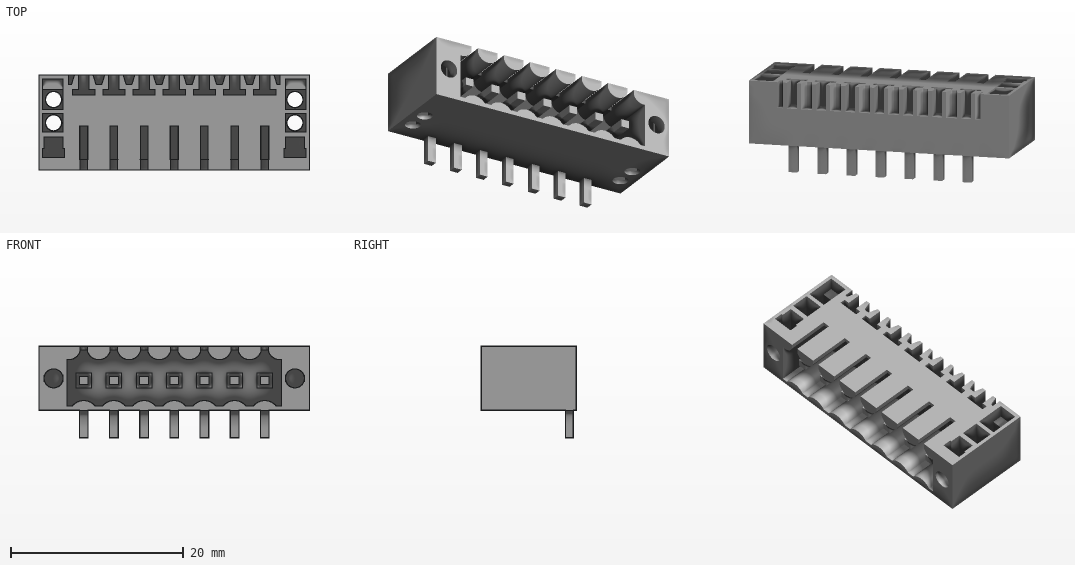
import cadquery as cq


length = 31.4
depth = 11.05
height = 7.45
floor_thickness = 0.5

pin_count = 7
row_span = 21.0
pitch = row_span / (pin_count - 1)
pin_places = [-row_span / 2 + i * pitch for i in range(pin_count)]
gap_places = [-(row_span + pitch) / 2 + i * pitch for i in range(pin_count + 1)]

pin_width = 1.05
pin_thickness = 0.95
pin_axis_z = 3.45
pin_tip_y = 1.22
leg_back_gap = 0.35
leg_length = 3.2

cavity_width = 24.93
cavity_depth = 6.9
cavity_top = 6.97
rib_radius = 1.38
rib_bottom = 5.87
slot_width = 0.88
slot_depth = 5.12
ridge_width = 2.65
ridge_height = 0.63
boss_width = 1.8
boss_height = 1.7
boss_length = 0.3

recess_floor = 4.4
stem_width = 1.22
stem_depth = 1.7
head_width = 2.57
head_depth = 2.35
notch_mouth = 1.35
notch_root = 0.65
notch_depth = 1.13
notch_root_radius = 0.2

pocket_wall = 0.4
pocket_width = 2.4
back_pocket_start = 0.47
back_pocket_end = 4.0
ledge_end = 1.7
ledge_drop = 1.8
middle_pocket_start = 4.45
middle_pocket_end = 6.63
peg_inset = 1.7
peg_diameter = 1.85
peg_places = [2.85, 5.55]
nut_pocket_start = 7.2
nut_pocket_step = 8.5
nut_pocket_end = 9.58
nut_narrow_width = 2.2
nut_wide_width = 2.57
screw_diameter = 2.2
screw_z = 3.7


def block(x_middle, width, y_range, z_range):
    """Box centred on x_middle that fills the given Y and Z ranges."""
    y_start, y_end = y_range
    z_start, z_end = z_range
    corner = (x_middle - width / 2, y_start, z_start)
    return cq.Workplane("XY").box(width, y_end - y_start, z_end - z_start, centered=False).translate(corner)


def end_block(inset, width, start, end, bottom):
    """Box in the left end, placed by its middle's inset and by its distances from the back face."""
    return block(inset - length / 2, width, (depth - end, depth - start), (bottom, height))


def ceiling_rib(x):
    """Rib hanging into the cavity, with straight sides and a round lower face."""
    width = pitch - slot_width
    centre_z = rib_bottom + rib_radius
    sides = block(x, width, (0, cavity_depth), (rib_bottom, height))
    round_part = (
        cq.Workplane("XZ").center(x, centre_z).circle(rib_radius).extrude(-cavity_depth)
        .union(block(x, width, (0, cavity_depth), (centre_z, height)))
    )
    return sides.intersect(round_part)


def floor_ridge(x):
    """Low ridge of circular-segment section along the cavity floor."""
    half = ridge_width / 2
    return (
        cq.Workplane("XZ")
        .moveTo(x - half, floor_thickness)
        .threePointArc((x, floor_thickness + ridge_height), (x + half, floor_thickness))
        .close()
        .extrude(-cavity_depth)
    )


def pin_boss(x):
    """Square boss on the cavity's back wall, around a pin."""
    z_range = (pin_axis_z - boss_height / 2, pin_axis_z + boss_height / 2)
    return block(x, boss_width, (cavity_depth - boss_length, cavity_depth), z_range)


def plug_cavity():
    """Space inside the cavity, with the ribs, ridges and bosses left standing."""
    cavity = block(0, cavity_width, (0, cavity_depth), (floor_thickness, cavity_top))
    for x in gap_places:
        cavity = cavity.cut(ceiling_rib(x))
    for x in pin_places:
        cavity = cavity.cut(floor_ridge(x)).cut(pin_boss(x))
    return cavity


def ceiling_slot(x):
    """Slot through the cavity ceiling above a pin."""
    return block(x, slot_width, (0, slot_depth), (rib_bottom + rib_radius / 2, height))


def rear_t_recess(x):
    """T-shaped recess behind a pin, open at the back and the top."""
    stem = block(x, stem_width, (depth - stem_depth, depth), (recess_floor, height))
    head = block(x, head_width, (depth - head_depth, depth - stem_depth), (recess_floor, height))
    return stem.union(head)


def rear_notch(x):
    """Tapered notch in the back edge, with a rounded root."""
    root_y = depth - notch_depth
    return (
        cq.Workplane("XY", origin=(x, 0, recess_floor))
        .moveTo(-notch_mouth / 2, depth)
        .lineTo(-notch_root / 2, root_y)
        .lineTo(notch_root / 2, root_y)
        .lineTo(notch_mouth / 2, depth)
        .close()
        .extrude(height - recess_floor)
        .edges("|Z and <Y")
        .fillet(notch_root_radius)
    )


def rear_notches():
    """Row of notches; the outermost two are halved by the solid ends of the housing."""
    row_width = gap_places[-1] - gap_places[0]
    notches = block(0, row_width, (depth - notch_depth, depth), (recess_floor, height))
    cutters = rear_notch(gap_places[0])
    for x in gap_places[1:]:
        cutters = cutters.union(rear_notch(x))
    return notches.intersect(cutters)


def left_end_pockets():
    """Pockets, peg holes and screw hole in the left end."""
    pocket_inset = pocket_wall + pocket_width / 2
    nut_inset = pocket_wall + nut_wide_width / 2
    ledge_top = height - ledge_drop
    pockets = (
        end_block(pocket_inset, pocket_width, back_pocket_start, ledge_end, ledge_top)
        .union(end_block(pocket_inset, pocket_width, ledge_end, back_pocket_end, floor_thickness))
        .union(end_block(pocket_inset, pocket_width, middle_pocket_start, middle_pocket_end, floor_thickness))
        .union(end_block(nut_inset, nut_narrow_width, nut_pocket_start, nut_pocket_step, floor_thickness))
        .union(end_block(nut_inset, nut_wide_width, nut_pocket_step, nut_pocket_end, floor_thickness))
    )
    peg_x = peg_inset - length / 2
    for back_distance in peg_places:
        peg_hole = (
            cq.Workplane("XY").center(peg_x, depth - back_distance)
            .circle(peg_diameter / 2).extrude(height)
        )
        pockets = pockets.union(peg_hole)
    screw_hole = (
        cq.Workplane("XZ").center(peg_x, screw_z)
        .circle(screw_diameter / 2).extrude(-(depth - nut_pocket_end))
    )
    return pockets.union(screw_hole)


def make_pin(x):
    """Right-angle pin: a blade along Y and a leg down through the housing's underside."""
    back_y = depth - leg_back_gap
    top = pin_axis_z + pin_thickness / 2
    blade = block(x, pin_width, (pin_tip_y, back_y), (top - pin_thickness, top))
    leg = block(x, pin_width, (back_y - pin_thickness, back_y), (-leg_length, top))
    return blade.union(leg)


def make_housing(pins):
    """Moulded housing with a matching hole for each pin."""
    body = block(0, length, (0, depth), (0, height)).cut(plug_cavity()).cut(rear_notches())
    for x in pin_places:
        body = body.cut(ceiling_slot(x)).cut(rear_t_recess(x))
    end_pockets = left_end_pockets()
    body = body.cut(end_pockets).cut(end_pockets.mirror("YZ"))
    for pin in pins:
        body = body.cut(pin)
    return body


pins = [make_pin(x) for x in pin_places]
housing = make_housing(pins)

result = cq.Compound.makeCompound([housing.val(), *[pin.val() for pin in pins]])